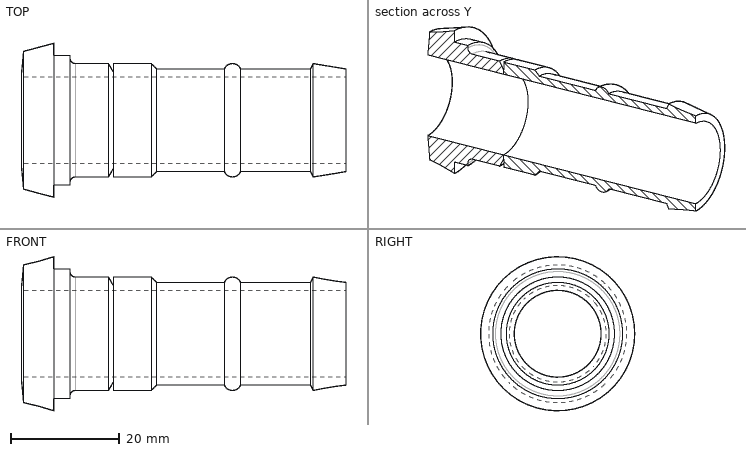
import cadquery as cq
import math

bore_radius = 16.0 / 2
joint_x = 17.0

face_flat_radius = 17.0 / 2
cone_front_radius = 25.5 / 2
cone_back_radius = 28.5 / 2
face_setback = 0.4
cone_end_x = 6.0
shoulder_radius = 24.0 / 2
shoulder_end_x = 9.0
neck_radius = 21.0 / 2
neck_fillet = 1.0
bevel_length = 0.9
bevel_angle = 60.0
bevel_depth = bevel_length * math.tan(math.radians(bevel_angle))

total_length = 60.0
collar_radius = 21.0 / 2
collar_end_x = 25.0
collar_chamfer_length = 1.0
tube_radius = 19.0 / 2
bead_x = 39.0
bead_height = 1.0
bead_half_width = 1.5
barb_radius = 21.0 / 2
barb_start_x = 53.4
barb_crest_x = 53.9


def turn(profile):
    """Revolve a closed XY profile into a solid about the X axis."""
    return profile.close().revolve(360, (0, 0, 0), (1, 0, 0))


def make_coupling_end():
    fillet_mid_offset = neck_fillet * (1 - math.sqrt(0.5))
    profile = (
        cq.Workplane("XY")
        .moveTo(0, bore_radius)
        .lineTo(0, face_flat_radius)
        .lineTo(face_setback, cone_front_radius)
        .lineTo(cone_end_x, cone_back_radius)
        .lineTo(cone_end_x, shoulder_radius)
        .lineTo(shoulder_end_x, shoulder_radius)
        .lineTo(shoulder_end_x, neck_radius + neck_fillet)
        .threePointArc(
            (shoulder_end_x + fillet_mid_offset, neck_radius + fillet_mid_offset),
            (shoulder_end_x + neck_fillet, neck_radius),
        )
        .lineTo(joint_x - bevel_length, neck_radius)
        .lineTo(joint_x, neck_radius - bevel_depth)
        .lineTo(joint_x, bore_radius)
    )
    return turn(profile)


def make_hose_tail():
    profile = (
        cq.Workplane("XY")
        .moveTo(joint_x, bore_radius)
        .lineTo(joint_x, collar_radius)
        .lineTo(collar_end_x - collar_chamfer_length, collar_radius)
        .lineTo(collar_end_x, tube_radius)
        .lineTo(bead_x - bead_half_width, tube_radius)
        .threePointArc(
            (bead_x, tube_radius + bead_height),
            (bead_x + bead_half_width, tube_radius),
        )
        .lineTo(barb_start_x, tube_radius)
        .lineTo(barb_crest_x, barb_radius)
        .lineTo(total_length, tube_radius)
        .lineTo(total_length, bore_radius)
    )
    return turn(profile)


coupling_end = make_coupling_end()
hose_tail = make_hose_tail()

result = cq.Compound.makeCompound([coupling_end.val(), hose_tail.val()])